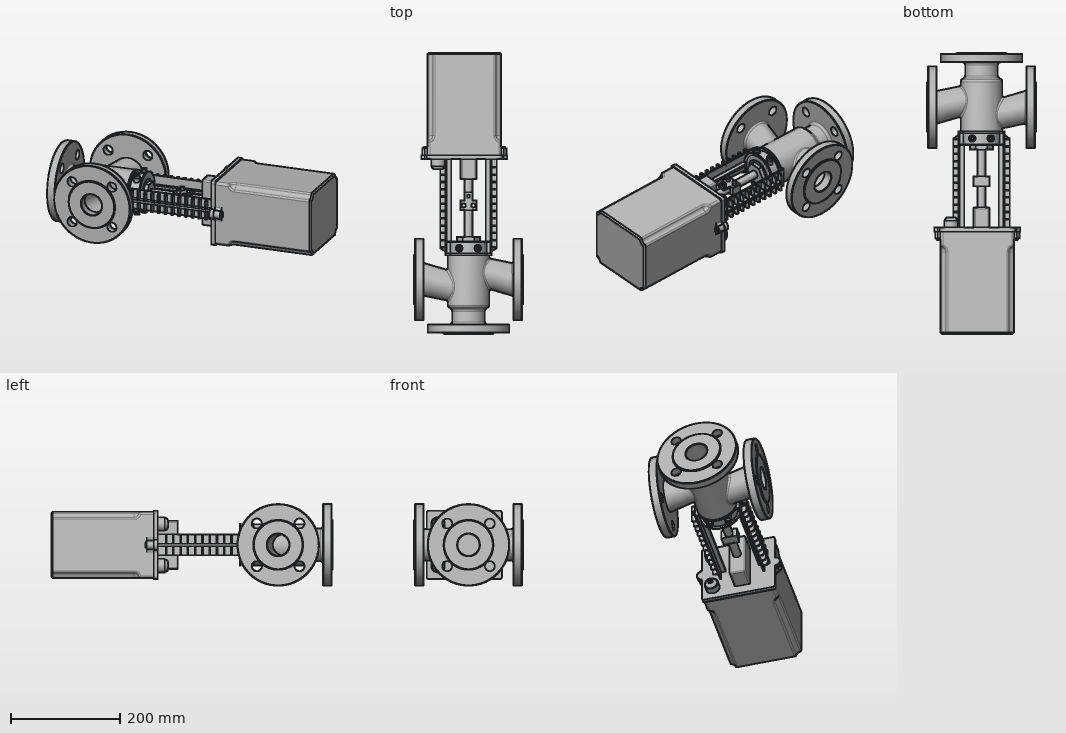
import cadquery as cq
import math

face_distance = 100.0
flange_dia = 150.0
flange_thickness = 18.0
raised_face_dia = 91.5
raised_face_height = 2.0
raised_face_chamfer = 1.5
flange_chamfer = 1.0
bolt_circle_dia = 110.0
bolt_hole_dia = 18.0
bolt_hole_count = 4
bore_dia = 40.0
bore_chamfer = 1.0
flange_back = face_distance - flange_thickness

barrel_radius = 76.0 / 2
barrel_top = 44.5
barrel_bottom = -49.5
neck_radius = 60.0 / 2
neck_top = -55.0
shoulder_fillet = 5.0
neck_flare = 4.5
bottom_bore_end = neck_top

port_slope = 14.0
pipe_flange_dia = 59.0
pipe_barrel_dia = 51.5
pipe_overlap = 9.0
port_fillet = 3.0
joint_reach = 43.0
pipe_flange_fillet = 3.0

collar_radius = 33.5
collar_top = 70.0
collar_lip_radius = 38.5
collar_lower_lip = 3.5
collar_upper_lip = 2.0
guide_dia = 50.0
column_outer = 42.0
column_thickness = 2.5
column_half_width = 19.0
web_thickness = 4.5
web_inner = 31.5
fin_reach = 52.0
fin_count = 12
first_fin_y = 205.0
last_fin_y = 58.5
fin_pitch = (first_fin_y - last_fin_y) / (fin_count - 1)
fin_thickness = 2.0
fin_corner = 4.0
foot_height = 6.5

clamp_screw_x = 17.0
clamp_screw_y = 57.0
clamp_washer_dia = 12.5
clamp_washer_height = 32.5
clamp_head_dia = 10.0
clamp_head_height = 38.5
clamp_socket_dia = 5.0
clamp_socket_depth = 2.5

nut_across_corners = 43.0
nut_height = 7.5

rod_dia = 15.0
coupling_bottom = 126.5
coupling_shoulder = 144.5
coupling_top = 159.5
coupling_width = 30.0
coupling_tongue_width = 14.0
coupling_floor = -7.5
coupling_roof = 10.5
head_height = 5.5
clamp_bolt_dia = 7.5
clamp_bolt_x = 9.0
clamp_bolt_y = 135.5
square_head_side = 5.0
square_head_y = 152.5

actuator_x = -7.5
overall_length = 515.0
actuator_top = overall_length - face_distance
plate_bottom = 220.0
plate_thickness = 7.5
plate_top = plate_bottom + plate_thickness
plate_width = 138.0
plate_depth = 125.0
plate_corner = 4.0
lug_offset = 69.0
plate_lug_radius = 10.0
plate_lug_fillet = 3.0

gearbox_width = 30.0
gearbox_depth = 88.5
gearbox_bottom = 183.5
gearbox_edge = 3.0
gearbox_end_edge = 2.0

gland_dia = 25.0
gland_x = -55.5
gland_z = 38.0
gland_length = 12.5
gland_dome_dia = 22.5
gland_dome_height = 6.0
gland_dome_fillet = 5.5
gland_hole_dia = 7.5
gland_hole_depth = 5.0

cover_width = 135.0
cover_depth = 121.5
cover_corner = 4.5
cover_top_edge = 3.0
groove_radius = 10.5
groove_edge = 3.5
groove_end = 264.0
lug_radius = 8.0
lug_fillet = 4.5
lug_height = 12.5
lug_screw_dia = 12.5
lug_screw_height = 3.0
lug_screw_chamfer = 2.0

pick_margin = 0.5


def cylinder_y(dia, y_low, y_high, x=0, z=0):
    """Round bar along Y between two heights."""
    start = cq.Vector(x, y_low, z)
    return cq.Workplane(cq.Solid.makeCylinder(dia / 2, y_high - y_low, start, cq.Vector(0, 1, 0)))


def box(x_low, x_high, y_low, y_high, z_low, z_high):
    """Box given by its limits."""
    size = (x_high - x_low, y_high - y_low, z_high - z_low)
    return cq.Workplane().box(*size, centered=False).translate((x_low, y_low, z_low))


def slab(width, depth, y_low, y_high):
    """Box along Y, centred on the actuator axis."""
    half = width / 2
    return box(actuator_x - half, actuator_x + half, y_low, y_high, -depth / 2, depth / 2)


def edges_within(x_low, x_high, y_low, y_high, z_reach):
    """Selector for edges that lie wholly inside a box centred on Z = 0."""
    low = (x_low - pick_margin, y_low - pick_margin, -z_reach - pick_margin)
    high = (x_high + pick_margin, y_high + pick_margin, z_reach + pick_margin)
    return cq.selectors.BoxSelector(low, high, boundingbox=True)


def circles_at_y(y, radius):
    """Selector for edges in one plane across the Y axis, out to a radius."""
    return edges_within(-radius, radius, y, y, radius)


def bottom_flange():
    """Flange plate with a raised sealing face and a ring of bolt holes."""
    plate_face = raised_face_height - face_distance
    plate = cylinder_y(flange_dia, plate_face, -flange_back)
    raised = cylinder_y(raised_face_dia, -face_distance, plate_face)
    raised = raised.faces("<Y").edges().chamfer(raised_face_chamfer)
    flange = plate.edges().chamfer(flange_chamfer).union(raised)
    for index in range(bolt_hole_count):
        angle = math.radians(45 + index * 360 / bolt_hole_count)
        x = bolt_circle_dia / 2 * math.cos(angle)
        z = bolt_circle_dia / 2 * math.sin(angle)
        flange = flange.cut(cylinder_y(bolt_hole_dia, -face_distance, -flange_back, x, z))
    return flange


def side_flange(side):
    """The bottom flange turned to face -X (side -1) or +X (side +1)."""
    return bottom_flange().rotate((0, 0, 0), (0, 0, 1), side * 90)


def port_axis(side):
    """Start point on the spindle axis and outward direction of an inclined side pipe."""
    slope = math.radians(port_slope)
    start = cq.Vector(0, side * flange_back * math.tan(slope), 0)
    direction = cq.Vector(side * math.cos(slope), -side * math.sin(slope), 0)
    return start, direction


def side_pipe(side):
    """Tapered, inclined pipe from the spindle axis to just inside a side flange."""
    length = (flange_back + pipe_overlap) / math.cos(math.radians(port_slope))
    return cq.Workplane(cq.Solid.makeCone(pipe_barrel_dia / 2, pipe_flange_dia / 2, length, *port_axis(side)))


def side_bore(side):
    """Straight bore through the flange, then inclined as far as the solid barrel."""
    length = face_distance / math.cos(math.radians(port_slope))
    inclined = cq.Workplane(cq.Solid.makeCylinder(bore_dia / 2, length, *port_axis(side)))
    behind_flange = box(-flange_back, flange_back, -flange_back, flange_back, -bore_dia, bore_dia)
    mouth = cq.Vector(side * flange_back, 0, 0)
    straight = cq.Solid.makeCylinder(bore_dia / 2, flange_thickness, mouth, cq.Vector(side, 0, 0))
    core = cylinder_y(2 * barrel_radius, -face_distance, face_distance)
    return inclined.intersect(behind_flange).union(cq.Workplane(straight)).cut(core)


def make_barrel():
    """Solid barrel stepping down over a sloped, rounded shoulder to the bottom neck."""
    profile = [
        (0, -flange_back - pipe_overlap),
        (neck_radius, -flange_back - pipe_overlap),
        (neck_radius, neck_top),
        (barrel_radius, barrel_bottom),
        (barrel_radius, barrel_top),
        (0, barrel_top),
    ]
    barrel = cq.Workplane("XY").polyline(profile).close().revolve(360, (0, 0, 0), (0, 1, 0))
    for y in (neck_top, barrel_bottom):
        barrel = barrel.edges(circles_at_y(y, barrel_radius)).fillet(shoulder_fillet)
    return barrel


def make_valve_body():
    body = make_barrel()
    for side in (-1, 1):
        body = body.union(side_pipe(side))
    joints = edges_within(-barrel_radius, barrel_radius, -joint_reach, joint_reach, barrel_radius)
    body = body.edges(joints).edges("not %CIRCLE").edges("not %LINE").fillet(port_fillet)

    body = body.union(bottom_flange())
    body = body.edges(circles_at_y(-flange_back, neck_radius)).fillet(neck_flare)
    for side in (-1, 1):
        body = body.union(side_flange(side))
    right_joint = edges_within(flange_back, flange_back, -bore_dia, bore_dia, bore_dia)
    body = body.edges(right_joint).edges("not %CIRCLE").fillet(pipe_flange_fillet)

    for side in (-1, 1):
        body = body.cut(side_bore(side))
    body = body.cut(cylinder_y(bore_dia, -face_distance, bottom_bore_end))
    for face in ("<X", ">X", "<Y"):
        body = body.faces(face).edges(cq.selectors.RadiusNthSelector(0)).chamfer(bore_chamfer)

    guide = cylinder_y(guide_dia, barrel_top, collar_top)
    nut = cq.Workplane("XZ", origin=(0, collar_top, 0)).polygon(6, nut_across_corners).extrude(-nut_height)
    return body.union(guide).union(nut)


def column(side):
    """Finned column: flat plate, a web along its middle and fins across the outside."""
    inner = column_outer - column_thickness
    plate = box(inner, column_outer, barrel_top, plate_bottom, -column_half_width, column_half_width)
    web_bottom = last_fin_y - fin_thickness / 2
    web_outline = [
        (web_inner, barrel_top),
        (column_outer, barrel_top),
        (column_outer, web_bottom - foot_height),
        (fin_reach, web_bottom),
        (fin_reach, plate_bottom),
        (web_inner, plate_bottom),
    ]
    web = cq.Workplane("XY").polyline(web_outline).close().extrude(web_thickness / 2, both=True)
    finned = plate.union(web)
    for index in range(fin_count):
        y = first_fin_y - index * fin_pitch
        half = fin_thickness / 2
        fin = box(inner, fin_reach, y - half, y + half, -column_half_width, column_half_width)
        finned = finned.union(fin.edges("|Y and >X").fillet(fin_corner))
    if side < 0:
        finned = finned.mirror("YZ")
    return finned


def clamp_screw(x, side):
    """Screw standing on the collar, pointing to -Z (side -1) or +Z (side +1)."""
    washer = cq.Workplane().circle(clamp_washer_dia / 2).extrude(clamp_washer_height)
    head = cq.Workplane().circle(clamp_head_dia / 2).extrude(clamp_head_height)
    screw = washer.union(head).faces(">Z").workplane().hole(clamp_socket_dia, clamp_socket_depth)
    if side < 0:
        screw = screw.mirror("XY")
    return screw.translate((x, clamp_screw_y, 0))


def make_yoke():
    yoke = cylinder_y(2 * collar_radius, barrel_top, collar_top)
    lip_top = barrel_top + collar_lower_lip
    yoke = yoke.union(cylinder_y(2 * collar_lip_radius, barrel_top, lip_top))
    yoke = yoke.union(cylinder_y(2 * collar_lip_radius, collar_top - collar_upper_lip, collar_top))
    foot = box(-column_outer, column_outer, barrel_top, lip_top, -column_half_width, column_half_width)
    yoke = yoke.union(foot)
    for side in (-1, 1):
        yoke = yoke.union(column(side))
        for x in (-clamp_screw_x, clamp_screw_x):
            yoke = yoke.union(clamp_screw(x, side))
    return yoke.cut(cylinder_y(guide_dia, barrel_top, collar_top))


def make_spindle():
    return cylinder_y(rod_dia, collar_top + nut_height, coupling_bottom)


def make_coupling():
    """Block with a tongue over the upper rod, two round bolt heads and one square one."""
    half = coupling_width / 2
    tongue = coupling_tongue_width / 2
    coupling = box(-half, half, coupling_bottom, coupling_shoulder, coupling_floor, coupling_roof)
    tongue_floor = rod_dia / 2
    coupling = coupling.union(
        box(-tongue, tongue, coupling_shoulder, coupling_top, tongue_floor, coupling_roof)
    )
    roof = cq.Workplane(origin=(0, 0, coupling_roof))
    bolts = roof.pushPoints([(-clamp_bolt_x, clamp_bolt_y), (clamp_bolt_x, clamp_bolt_y)])
    bolts = bolts.circle(clamp_bolt_dia / 2).extrude(head_height)
    square = roof.center(0, square_head_y).rect(square_head_side, square_head_side).extrude(head_height)
    return coupling.union(bolts).union(square)


def lugs(radius, fillet, base_width, y_low, y_high):
    """Bar with round ends across the actuator, flared where it leaves a base_width wide block."""
    tip = lug_offset
    bar = slab(2 * tip, 2 * radius, y_low, y_high)
    for side in (-1, 1):
        bar = bar.union(cylinder_y(2 * radius, y_low, y_high, actuator_x + side * tip))
    wall = base_width / 2
    bar = bar.union(slab(2 * (wall + fillet), 2 * (radius + fillet), y_low, y_high))
    for side in (-1, 1):
        for z_side in (-1, 1):
            x = actuator_x + side * (wall + fillet)
            bar = bar.cut(cylinder_y(2 * fillet, y_low, y_high, x, z_side * (radius + fillet)))
    return bar


def cable_gland(z):
    """Round gland with a domed end and a central hole."""
    shoulder = plate_bottom - gland_length
    end = shoulder - gland_dome_height
    dome = cylinder_y(gland_dome_dia, end, shoulder, gland_x, z)
    dome = dome.faces("<Y").edges().fillet(gland_dome_fillet)
    gland = cylinder_y(gland_dia, shoulder, plate_bottom, gland_x, z).union(dome)
    return gland.cut(cylinder_y(gland_hole_dia, end, end + gland_hole_depth, gland_x, z))


def make_actuator_base():
    plate = slab(plate_width, plate_depth, plate_bottom, plate_top).edges("|Y").fillet(plate_corner)
    base = plate.union(lugs(plate_lug_radius, plate_lug_fillet, plate_width, plate_bottom, plate_top))
    half = gearbox_width / 2
    gearbox = box(-half, half, gearbox_bottom, plate_bottom, -gearbox_depth / 2, gearbox_depth / 2)
    base = base.union(gearbox.edges("|Y").fillet(gearbox_edge).faces("<Y").edges().fillet(gearbox_end_edge))
    base = base.union(cylinder_y(rod_dia, coupling_shoulder, gearbox_bottom))
    for z in (-gland_z, gland_z):
        base = base.union(cable_gland(z))
    return base


def corner_groove(x_side, z_side):
    """Round-ended cutter that runs along one long corner of the cover."""
    x = actuator_x + x_side * cover_width / 2
    z = z_side * cover_depth / 2
    bar = cylinder_y(2 * groove_radius, groove_end, actuator_top, x, z)
    ball = cq.Workplane(origin=(x, groove_end, z)).sphere(groove_radius)
    return bar.union(ball)


def make_cover():
    cover = slab(cover_width, cover_depth, plate_top, actuator_top)
    cover = cover.edges("|Y").fillet(cover_corner)
    for x_side in (-1, 1):
        for z_side in (-1, 1):
            cover = cover.cut(corner_groove(x_side, z_side))
    groove_low = groove_end - groove_radius
    groove_rims = edges_within(-cover_width, cover_width, groove_low, groove_end, cover_depth)
    cover = cover.edges(groove_rims).fillet(groove_edge)
    cover = cover.faces(">Y").edges().chamfer(cover_top_edge)
    lug_top = plate_top + lug_height
    cover = cover.union(lugs(lug_radius, lug_fillet, cover_width, plate_top, lug_top))
    for side in (-1, 1):
        x = actuator_x + side * lug_offset
        screw = cylinder_y(lug_screw_dia, lug_top, lug_top + lug_screw_height, x)
        cover = cover.union(screw.faces(">Y").edges().chamfer(lug_screw_chamfer))
    return cover


valve_body = make_valve_body()
yoke = make_yoke()
spindle = make_spindle()
coupling = make_coupling()
actuator_base = make_actuator_base()
cover = make_cover()

bodies = [valve_body, yoke, spindle, coupling, actuator_base, cover]
result = cq.Compound.makeCompound([body.solids().val() for body in bodies])